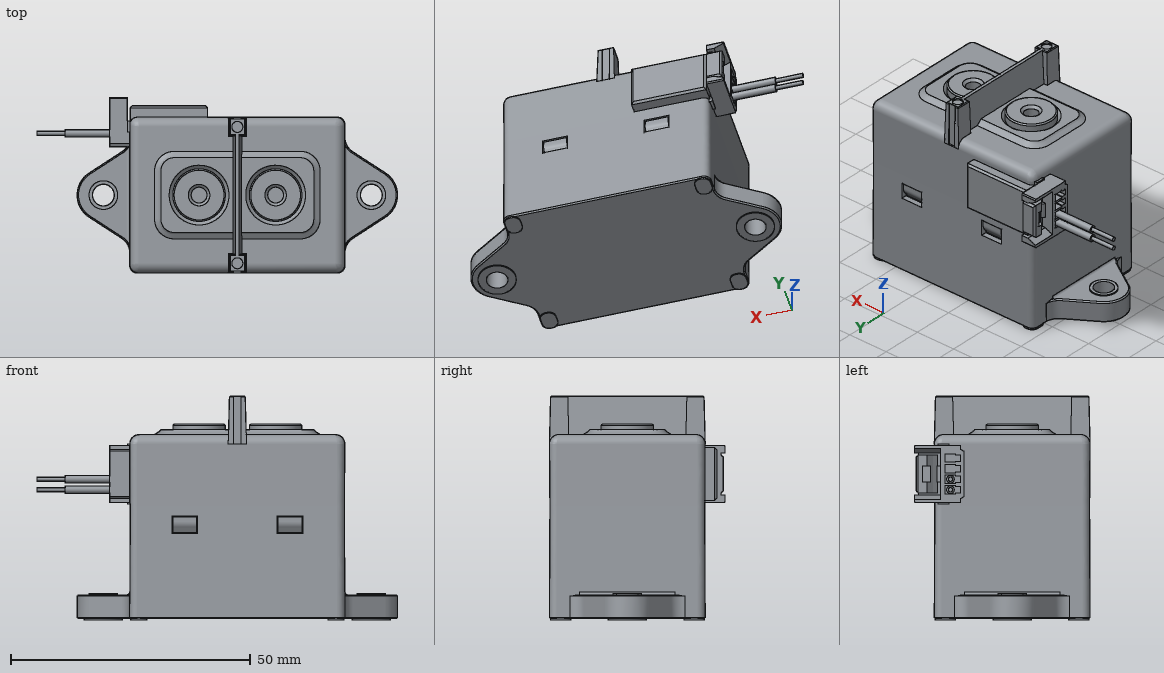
import cadquery as cq
import math

case_length = 45.0
case_width = 32.6
foot_height = 0.3
case_top = 38.8
corner_radius = 1.5
waist_height = 23.8
waist_inset = 0.1
top_edge_radius = 2.0
bottom_chamfer = 0.3
foot_length = 3.4
foot_width = 4.3
foot_inset = 0.2

ear_hole_offset = 28.0
ear_hole_diameter = 4.5
ear_radius = 5.5
ear_flank_angle = 33.0
ear_root_radius = 3.5
ear_top = 5.3
ear_chamfer = 0.3
ear_ring_diameter = 6.0
ear_ring_height = 0.25
ear_pad_diameter = 8.0
ear_root_fillet = 0.6
ear_root_fillet_length = 20.0

platform_length = 34.6
platform_width = 18.3
platform_corner_radius = 4.1
platform_step_heights = (0.6, 0.4)
platform_step_tapers = (57.0, 45.0)
terminal_offset = 8.0
terminal_diameter = 11.0
terminal_top = 41.0
terminal_chamfer = 0.3
terminal_groove_diameter = 12.5
terminal_hole_diameter = 3.3
terminal_sink_diameter = 4.5
terminal_hole_depth = 6.0

divider_top = 46.8
divider_base_thickness = 1.9
divider_taper = 4.0
post_length_x = 3.84
post_length_y = 4.1
post_taper = 1.4
post_chamfer = 0.2
post_mark_diameter = 2.3
post_mark_depth = 0.3
post_groove_width = 1.6
post_groove_depth = 0.4

window_offset = 11.0
window_width = 5.4
window_bottom = 18.1
window_top = 21.8
lug_clearance = 0.2
lug_face_depth = 0.3
lug_face_bottom = 20.5
lug_nose_bottom = 19.3
lug_nose_depth = 0.75
window_depth = 1.4

rail_start = -22.4
rail_end = -6.2
rail_depth = 2.4
rail_height = 11.0
rail_chamfer = 0.45
collar_height = 12.6
collar_y = (13.2, 15.5)

plug_front = -26.7
plug_back = -23.0
plug_center_z = 30.55
plug_height = 12.0
plug_y_min = 10.1
plug_y_max = 20.45
plug_block_y_max = 14.95
plug_plate_thickness = 1.0
plug_notch_y = 0.65
plug_notch_z = 0.85
plug_notch_slope = 0.4
plug_edge_chamfer = 0.25
flange_thickness = 1.65
flange_lip = 0.7
flange_bevel_depth = 2.0
latch_height = 7.9
latch_edge_chamfer = 0.45
latch_front = -26.2
latch_step_x = -24.8
latch_root_x = -24.0
latch_y_max = 20.1
latch_face_y_min = 17.8
latch_step_y = 16.5
latch_y_min = 15.6
latch_window_height = 3.4
latch_window_y = (17.1, 18.7)
latch_window_depth = 1.0
latch_pad_radius = 0.8

cavity_pitch = 2.2
cavity_count = 4
cavity_depth = 2.0
cavity_height = 1.7
cavity_y = (11.8, 14.0)
slot_height = 1.3
slot_y_min = 10.8
wire_count = 2
wire_y = 12.9
wire_tip = -41.9
wire_strip_end = -36.0
insulation_diameter = 1.6
conductor_diameter = 0.9

half_length = case_length / 2
half_width = case_width / 2
platform_top = case_top + sum(platform_step_heights)
plug_bottom = plug_center_z - plug_height / 2
cavity_floor = plug_front + cavity_depth
first_cavity_z = plug_center_z - cavity_pitch * (cavity_count - 1) / 2
cavity_heights = [first_cavity_z + cavity_pitch * i for i in range(cavity_count)]


def box(x_range, y_range, z_range):
    """Axis-aligned block between two places on each axis."""
    size = [high - low for low, high in (x_range, y_range, z_range)]
    corner = (x_range[0], y_range[0], z_range[0])
    return cq.Workplane("XY").box(*size, centered=False).translate(corner)


def disk(x, y, diameter, bottom, top):
    """Upright cylinder."""
    return cq.Workplane("XY", origin=(x, y, bottom)).circle(diameter / 2).extrude(top - bottom)


def x_rod(start, end, y, z, diameter):
    """Cylinder lying along X."""
    return cq.Workplane("YZ", origin=(start, y, z)).circle(diameter / 2).extrude(end - start)


def make_shell():
    """Rounded block with a slight waist: its walls flare from the waist line to both ends."""
    shell = None
    for height in (case_top - waist_height, foot_height - waist_height):
        flare = math.degrees(math.atan(waist_inset / abs(height)))
        half = (
            cq.Workplane("XY", origin=(0, 0, waist_height))
            .sketch()
            .rect(case_length - 2 * waist_inset, case_width - 2 * waist_inset)
            .vertices()
            .fillet(corner_radius)
            .finalize()
            .extrude(height, taper=-flare)
        )
        shell = half if shell is None else shell.union(half, clean=False)
    shell = shell.faces(">Z").edges().fillet(top_edge_radius)
    return shell.faces("<Z").edges().chamfer(bottom_chamfer)


def make_feet():
    """Small pads under the four corners of the case."""
    points = [
        (sx * (half_length - foot_inset - foot_length / 2), sy * (half_width - foot_inset - foot_width / 2))
        for sx in (-1, 1)
        for sy in (-1, 1)
    ]
    pads = cq.Workplane("XY").pushPoints(points).rect(foot_length, foot_width)
    return pads.extrude(2 * foot_height).edges("|Z").fillet(corner_radius)


def make_ear():
    """Mounting ear on the +X side: a round nose with flanks that flare into the case wall."""
    angle = math.radians(ear_flank_angle)
    nose_x = ear_hole_offset + ear_radius * math.sin(angle)
    nose_y = ear_radius * math.cos(angle)
    wall_y = nose_y + (nose_x - half_length) * math.tan(angle)
    root_tangent = ear_root_radius / math.tan((math.pi / 2 + angle) / 2)
    root_x = half_length + root_tangent * math.cos(angle)
    root_y = wall_y - root_tangent * math.sin(angle)
    root_end_y = wall_y + root_tangent
    mid_angle = math.pi + (math.pi / 2 - angle) / 2
    mid_x = half_length + ear_root_radius * (1 + math.cos(mid_angle))
    mid_y = root_end_y + ear_root_radius * math.sin(mid_angle)
    inside_x = half_length - corner_radius
    ear = (
        cq.Workplane("XY", origin=(0, 0, foot_height))
        .moveTo(inside_x, -root_end_y)
        .lineTo(half_length, -root_end_y)
        .threePointArc((mid_x, -mid_y), (root_x, -root_y))
        .lineTo(nose_x, -nose_y)
        .threePointArc((ear_hole_offset + ear_radius, 0), (nose_x, nose_y))
        .lineTo(root_x, root_y)
        .threePointArc((mid_x, mid_y), (half_length, root_end_y))
        .lineTo(inside_x, root_end_y)
        .close()
        .extrude(ear_top - foot_height)
    )
    ear = ear.faces("<Z or >Z").edges("not(<X)").chamfer(ear_chamfer)
    root_strip = (
        cq.Workplane("XZ", origin=(0, ear_root_fillet_length / 2, 0))
        .moveTo(half_length, ear_top + ear_root_fillet)
        .radiusArc((half_length + ear_root_fillet, ear_top), -ear_root_fillet)
        .lineTo(half_length - ear_root_fillet, ear_top)
        .lineTo(half_length - ear_root_fillet, ear_top + ear_root_fillet)
        .close()
        .extrude(ear_root_fillet_length)
    )
    ring = disk(ear_hole_offset, 0, ear_ring_diameter, foot_height, ear_top + ear_ring_height)
    pad = disk(ear_hole_offset, 0, ear_pad_diameter, 0, ear_top / 2)
    hole = disk(ear_hole_offset, 0, ear_hole_diameter, 0, case_top)
    return ear.union(root_strip).union(ring).union(pad).cut(hole)


def make_platform():
    """Raised pad under the terminals, bevelled in two steps."""
    platform = cq.Workplane("XY", origin=(0, 0, case_top)).rect(platform_length, platform_width)
    platform = platform.extrude(-top_edge_radius).edges("|Z").fillet(platform_corner_radius)
    for height, taper in zip(platform_step_heights, platform_step_tapers):
        outline = platform.faces(">Z").wires().toPending()
        platform = outline.workplane().extrude(height, taper=taper)
    return platform


def cut_terminal_groove(body, x):
    """V groove around a terminal: a conical countersink that narrows to the terminal wall."""
    groove_depth = (terminal_groove_diameter - terminal_diameter) / 2
    cone = (
        cq.Workplane("XY", origin=(x, 0, platform_top))
        .circle(terminal_groove_diameter / 2)
        .extrude(-groove_depth, taper=45)
    )
    return body.cut(cone)


def make_terminal(x):
    terminal = disk(x, 0, terminal_diameter, case_top - top_edge_radius, terminal_top)
    return terminal.faces(">Z").edges().chamfer(terminal_chamfer)


def cut_terminal_hole(body, x):
    top = cq.Workplane("XY", origin=(x, 0, terminal_top))
    sink_depth = (terminal_sink_diameter - terminal_hole_diameter) / 2
    hole = top.circle(terminal_hole_diameter / 2).extrude(-terminal_hole_depth)
    sink = top.circle(terminal_sink_diameter / 2).extrude(-sink_depth, taper=45)
    return body.cut(hole).cut(sink)


def make_divider():
    """Tapered wall across the case with a tapered post at each end."""
    wall_length = case_width - post_length_y
    divider = (
        cq.Workplane("XY", origin=(0, 0, case_top))
        .rect(divider_base_thickness, wall_length)
        .extrude(divider_top - case_top, taper=divider_taper)
    )
    post_base = case_top - top_edge_radius
    for side in (-1, 1):
        post_y = side * (half_width - post_length_y / 2)
        post = (
            cq.Workplane("XY", origin=(0, post_y, post_base))
            .rect(post_length_x, post_length_y)
            .extrude(divider_top - post_base, taper=post_taper)
        )
        divider = divider.union(post.faces(">Z").edges().chamfer(post_chamfer))
    return divider


def cut_post_details(body):
    """Round mark on top of each post and a shallow groove down its outer end."""
    groove_base = case_top - top_edge_radius
    for side in (-1, 1):
        post_y = side * (half_width - post_length_y / 2)
        mark = disk(0, post_y, post_mark_diameter, divider_top - post_mark_depth, divider_top)
        groove = (
            cq.Workplane("XY", origin=(0, side * half_width, groove_base))
            .rect(post_groove_width, 2 * post_groove_depth)
            .extrude(divider_top - groove_base)
        )
        body = body.cut(mark).cut(groove)
    return body


def make_window(x):
    """Snap window pocket in the -Y wall."""
    half = window_width / 2
    y_range = (-half_width, window_depth - half_width)
    return box((x - half, x + half), y_range, (window_bottom, window_top))


def make_lug(x):
    """Rounded snap lug that stands on the pocket floor, clear of the window's sides and top."""
    lug_width = window_width - 2 * lug_clearance
    lug_top = window_top - lug_clearance
    return (
        cq.Workplane("YZ", origin=(x - lug_width / 2, -half_width, 0))
        .moveTo(window_depth, lug_top)
        .lineTo(lug_face_depth, lug_top)
        .lineTo(lug_face_depth, lug_face_bottom)
        .tangentArcPoint((lug_nose_depth, lug_nose_bottom), relative=False)
        .lineTo(window_depth, window_bottom + lug_clearance)
        .close()
        .extrude(lug_width)
    )


def make_rail():
    """Connector socket along the back wall, with a thin collar behind the plug."""
    rail_z = (plug_center_z - rail_height / 2, plug_center_z + rail_height / 2)
    rail = box((rail_start, rail_end), (half_width - corner_radius, half_width + rail_depth), rail_z)
    rail = rail.faces(">Y").edges().chamfer(rail_chamfer)
    collar_z = (plug_center_z - collar_height / 2, plug_center_z + collar_height / 2)
    collar = box((plug_back, corner_radius - half_length), collar_y, collar_z)
    return rail.union(collar)


def make_case():
    ear = make_ear()
    case = make_shell().union(make_feet()).union(ear).union(ear.mirror("YZ")).union(make_platform())
    for x in (-terminal_offset, terminal_offset):
        case = cut_terminal_groove(case, x)
        case = case.union(make_terminal(x))
        case = cut_terminal_hole(case, x)
    for x in (-window_offset, window_offset):
        window = make_window(x)
        lug = make_lug(x)
        case = case.cut(window).cut(window.mirror("XZ")).union(lug).union(lug.mirror("XZ"))
    case = cut_post_details(case.union(make_divider()))
    return case.union(make_rail())


def make_plug_block():
    """Wire block with notched corners and a heel against the case, on a plate that carries the latch."""
    plug_z = (plug_bottom, plug_bottom + plug_height)
    block = box((plug_front, plug_back), (plug_y_min, plug_block_y_max), plug_z)
    heel = box((plug_back, -half_length), (plug_y_min, collar_y[0]), plug_z)
    notch_top = plug_bottom + plug_notch_z
    notch = (
        cq.Workplane("YZ", origin=(plug_front, 0, 0))
        .moveTo(plug_y_min, plug_bottom)
        .lineTo(plug_y_min + plug_notch_y, plug_bottom)
        .lineTo(plug_y_min + plug_notch_y, notch_top)
        .lineTo(plug_y_min, notch_top + plug_notch_slope)
        .close()
        .extrude(-half_length - plug_front)
    )
    block = block.union(heel).cut(notch).cut(mirror_over_plug(notch))
    plate_y = (plug_block_y_max, plug_y_max - flange_thickness / 2)
    plate = box((plug_back - plug_plate_thickness, plug_back), plate_y, plug_z)
    return block.union(plate)


def mirror_over_plug(shape):
    """Mirror image in the horizontal middle plane of the plug."""
    return shape.mirror("XY", (0, 0, plug_center_z))


def make_flange():
    """Lower guard flange beside the latch; its inner face is bevelled towards the front."""
    return (
        cq.Workplane("XZ", origin=(0, plug_y_max, 0))
        .moveTo(plug_front, plug_bottom)
        .lineTo(plug_back, plug_bottom)
        .lineTo(plug_back, plug_bottom + flange_thickness)
        .lineTo(plug_front + flange_bevel_depth, plug_bottom + flange_thickness)
        .lineTo(plug_front, plug_bottom + flange_lip)
        .close()
        .extrude(plug_y_max - plug_block_y_max)
        .faces(">Y")
        .edges("<Z")
        .chamfer(plug_edge_chamfer)
    )


def make_latch():
    """Latch lever whose front face slopes back in two steps towards the wire block."""
    latch = (
        cq.Workplane("XY", origin=(0, 0, plug_center_z - latch_height / 2))
        .moveTo(plug_back, latch_y_max)
        .lineTo(latch_front, latch_y_max)
        .lineTo(latch_front, latch_face_y_min)
        .lineTo(latch_step_x, latch_step_y)
        .lineTo(latch_root_x, latch_y_min)
        .lineTo(plug_back, latch_y_min)
        .close()
        .extrude(latch_height)
    )
    latch = latch.faces(">Y").edges("not(>X)").chamfer(latch_edge_chamfer)
    half_window = latch_window_height / 2
    window_z = (plug_center_z - half_window, plug_center_z + half_window)
    window = box((latch_front, latch_front + latch_window_depth), latch_window_y, window_z)
    pad = (
        cq.Workplane("XY", origin=(plug_back - plug_plate_thickness, plug_block_y_max, window_z[0]))
        .circle(latch_pad_radius)
        .extrude(latch_window_height)
    )
    return latch.cut(window).union(pad)


def make_cavity(z):
    """Keyhole-shaped wire cavity, open at the front."""
    depth_range = (plug_front, cavity_floor)
    cavity = box(depth_range, cavity_y, (z - cavity_height / 2, z + cavity_height / 2))
    slot = box(depth_range, (slot_y_min, cavity_y[0]), (z - slot_height / 2, z + slot_height / 2))
    return cavity.union(slot)


def make_plug():
    flange = make_flange()
    plug = make_plug_block().union(flange).union(mirror_over_plug(flange)).union(make_latch())
    for z in cavity_heights:
        plug = plug.cut(make_cavity(z))
    return plug


def make_wire(z):
    """Insulated wire from the cavity floor, with a stripped conductor at its free end."""
    insulation = x_rod(wire_strip_end, cavity_floor, wire_y, z, insulation_diameter)
    conductor = x_rod(wire_tip, wire_strip_end, wire_y, z, conductor_diameter)
    return insulation.union(conductor)


case = make_case()
plug = make_plug()
wires = [make_wire(z) for z in cavity_heights[:wire_count]]

result = cq.Compound.makeCompound([case.val(), plug.val(), *[wire.val() for wire in wires]])